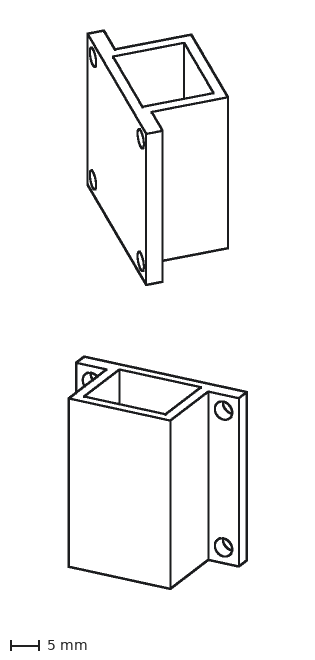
import cadquery as cq

plate_side = 32.0
plate_thickness = 3.0
total_depth = 17.0
box_width = 20.0
wall = 2.0
floor_thickness = wall
mount_hole_diameter = 3.4
mount_hole_inset = plate_thickness
drain_hole_diameter = 4.0
drain_hole_x = -5.0
drain_hole_y = 5.0

pocket_width = box_width - 2 * wall
pocket_depth = total_depth - 2 * wall
mount_hole_spacing = plate_side - 2 * mount_hole_inset


def block(width, depth, height, front_y=0, bottom_z=0):
    """Box centred on X, starting at the given front face and bottom face."""
    return (
        cq.Workplane("XY")
        .box(width, depth, height, centered=(True, False, False))
        .translate((0, front_y, bottom_z))
    )


def mount_holes():
    """Four holes through the plate, one near each corner."""
    return (
        cq.Workplane("XZ")
        .center(0, plate_side / 2)
        .rect(mount_hole_spacing, mount_hole_spacing, forConstruction=True)
        .vertices()
        .circle(mount_hole_diameter / 2)
        .extrude(-plate_thickness)
    )


def drain_hole():
    """Round hole through the floor of the pocket."""
    return (
        cq.Workplane("XY")
        .center(drain_hole_x, drain_hole_y)
        .circle(drain_hole_diameter / 2)
        .extrude(floor_thickness)
    )


plate = block(plate_side, plate_thickness, plate_side)
box_body = block(box_width, total_depth, plate_side)

pocket = block(
    pocket_width,
    pocket_depth,
    plate_side - floor_thickness,
    front_y=wall,
    bottom_z=floor_thickness,
)

result = plate.union(box_body).cut(pocket).cut(mount_holes()).cut(drain_hole())